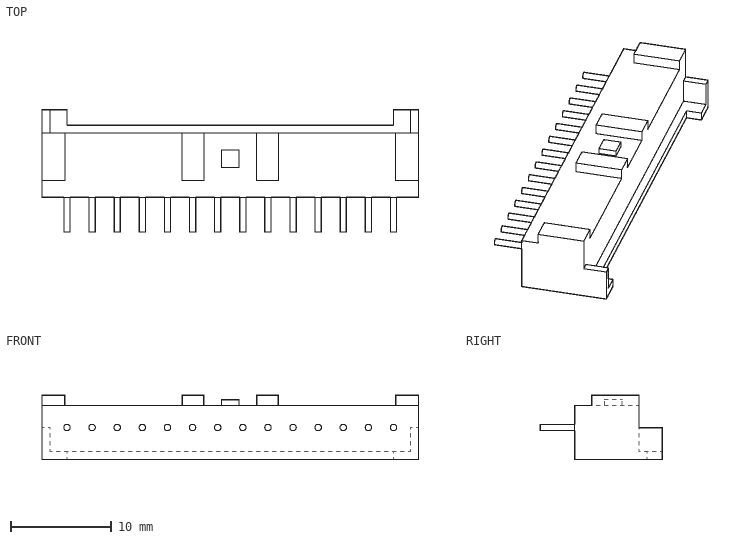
import cadquery as cq

length = 37.5
body_height = 5.4
body_depth = 6.4

wall_height = 3.2
wall_thickness = 0.82
mating_end = 8.75
floor_thickness = wall_thickness
floor_end = 7.2
tab_width = 2.5

pad_height = 1.0
pad_start = 1.7
end_pad_width = 2.3
middle_pad_width = 2.18
middle_pad_offset = 3.7
key_size = 1.75
key_height = 0.55
key_start = 2.95

pin_count = 14
pin_pitch = length / (pin_count + 1)
pin_diameter = 0.65
pin_length = 3.45
pin_z = 3.2


def block(x_center, width, y_start, y_end, z_start, height):
    """Box centred on x_center, given by its Y range, base level and height."""
    return (
        cq.Workplane("XY")
        .box(width, y_end - y_start, height, centered=(True, False, False))
        .translate((x_center, y_start, z_start))
    )


def make_housing():
    """Tall body with a thin floor, corner tabs and side walls on the mating side."""
    housing = block(0, length, 0, body_depth, 0, body_height)
    housing = housing.union(block(0, length, 0, floor_end, 0, floor_thickness))
    for side in (-1, 1):
        tab_x = side * (length - tab_width) / 2
        wall_x = side * (length - wall_thickness) / 2
        housing = housing.union(block(tab_x, tab_width, 0, mating_end, 0, floor_thickness))
        housing = housing.union(block(wall_x, wall_thickness, 0, mating_end, 0, wall_height))
    return housing


def add_top_pads(part):
    """Two end pads, two middle pads and a small square central key."""
    for side in (-1, 1):
        end_pad_x = side * (length - end_pad_width) / 2
        middle_pad_x = side * middle_pad_offset
        for x, width in ((end_pad_x, end_pad_width), (middle_pad_x, middle_pad_width)):
            part = part.union(block(x, width, pad_start, body_depth, body_height, pad_height))
    key_end = key_start + key_size
    return part.union(block(0, key_size, key_start, key_end, body_height, key_height))


def add_pins(part):
    """Single row of round pins standing out of the y = 0 face."""
    pins = (
        cq.Workplane("XZ")
        .center(0, pin_z)
        .rarray(pin_pitch, 0.38, pin_count, 1)
        .circle(pin_diameter / 2)
        .extrude(pin_length)
    )
    return part.union(pins)


result = add_pins(add_top_pads(make_housing()))